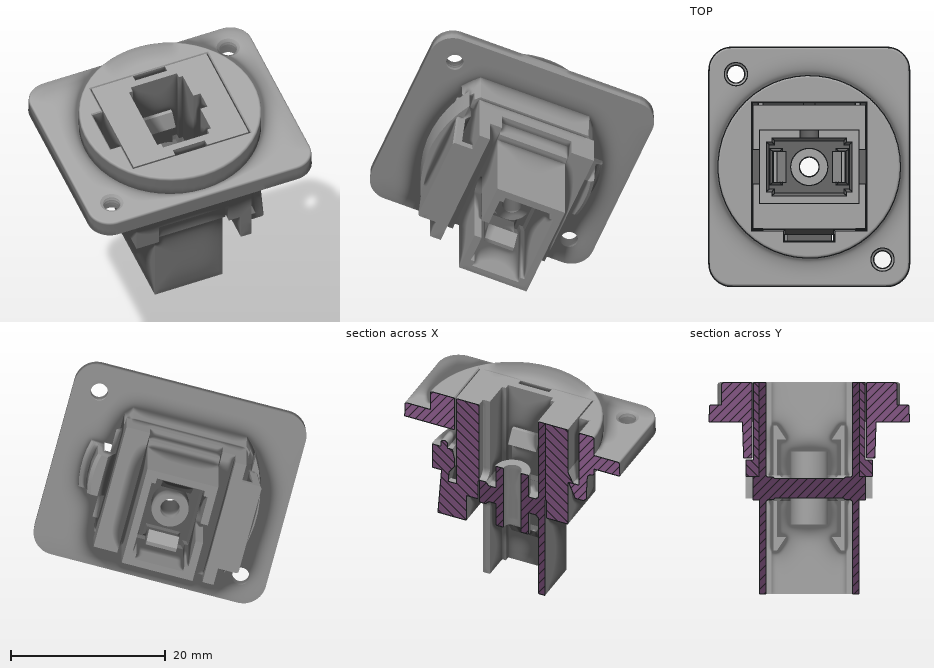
import cadquery as cq
import math


top_z = 5.1

flange_x = 26.0
flange_y = 31.0
flange_thickness = 2.23
flange_draft = 2
flange_corner_radius = 3.0
flange_edge_round = 0.28
disc_edge_round = 0.3
rim_chamfer = 0.15
disc_radius = 11.8

thread_minor_radius = 2.25 / 2
thread_major_radius = 3.0 / 2
thread_pitch = 0.5
screw_x = 9.5
screw_y = 12.0

jack_head_half_x = 7.25
jack_half_y = 8.03
jack_base_half_x = 8.25
jack_shoulder_z = -4.9
jack_base_bottom_z = -9.92
jack_leg_bottom_z = -13.85
jack_leg_thickness = 1.5
side_notch_half_y = 2.23

ledge_half_x = 6.0
ledge_top_z = -1.6
ledge_bottom_z = -3.15
ledge_depth = 0.75

latch_half_x = 5.98
latch_rib_half_x = 0.75
latch_rib_top_z = -8.4
latch_bridge_top_z = -12.83
latch_tab_top_z = -3.15
latch_tab_bottom_z = -6.95
latch_arm_inner_y = 9.05
latch_arm_outer_y = 10.2
latch_foot_inner_y = 9.52
latch_foot_outer_y = 10.73
latch_tab_back_y = 9.33
latch_tab_tip_y = 11.55
latch_tab_half_x = 8.0
latch_catch_y = 8.25
latch_catch_z = -5.77
latch_arm_chamfer = 0.22
latch_tip_radius = 0.53
latch_tip_y = 9.75
latch_tip_top_z = -2.08

coupler_half_x = 6.45
coupler_half_y = 4.75
coupler_bottom_z = -22.3
coupler_mid_z = (top_z + coupler_bottom_z) / 2
ear_half_x = 7.32
ear_height = 3.05
ear_slot_half_y = 4.87
cavity_tall_half_x = 4.85
cavity_tall_half_y = 3.75
cavity_wide_half_x = 5.55
cavity_wide_half_y = 3.22
cavity_floor_z = -7.3
cavity_floor_bevel = 0.37
keyway_radius = 1.2
keyway_bottom_z = -6.82
bore_radius = 2.5 / 2
sleeve_radius = 4.8 / 2
sleeve_top_z = -3.88
finger_half_y = 2.0
finger_back_x = 4.62
finger_face_x = 4.15
finger_hook_x = 2.98
finger_top_z = -0.5
finger_hook_z = -2.25
finger_base_half_y = 2.35
finger_base_inner_x = 3.47
finger_base_outer_x = 5.08
finger_base_height = 0.35
finger_base_bevel = 0.3

jack_gap = 0.1
latch_gap = 0.22
opening_half_x = jack_head_half_x + jack_gap
opening_front_y = -jack_half_y - jack_gap
opening_back_y = jack_half_y + latch_gap

skirt_half_x = 8.68
skirt_bottom_z = jack_shoulder_z + latch_gap
skirt_draft = 2
skirt_corner_y = -7.22
skirt_corner_slope = 0.9
pillar_inner_x = 6.57
pillar_step_y = 8.6
pillar_step_z = -3.15

clip_slot_half_x = 3.15
clip_inner_y = -9.58
clip_top_half_x = 3.13
clip_neck_half_x = 3.05
clip_foot_half_x = 2.7
clip_shoulder_z = -0.8
clip_neck_z = -1.45
clip_bottom_z = -5.5
clip_outer_radius = 10.85
clip_foot_radius = 10.73
clip_foot_y = -9.02
clip_foot_chamfer = 0.45


def block(x0, x1, y0, y1, z0, z1):
    """Axis-aligned box between two opposite corners."""
    return cq.Workplane("XY").box(x1 - x0, y1 - y0, z1 - z0, centered=False).translate((x0, y0, z0))


def centred_block(half_x, half_y, z0, z1):
    """Box centred on the Z axis."""
    return block(-half_x, half_x, -half_y, half_y, z0, z1)


def yz_prism(points, half_x):
    """Outline of (Y, Z) points extruded to both sides of the YZ plane."""
    return cq.Workplane("YZ").polyline(points).close().extrude(half_x, both=True)


def both_sides(body):
    """The body and its mirror image in the YZ plane."""
    return body.union(body.mirror("YZ"))


def make_plate():
    outline = cq.Sketch().rect(flange_x, flange_y).vertices().fillet(flange_corner_radius)
    flange = (
        cq.Workplane("XY")
        .placeSketch(outline)
        .extrude(flange_thickness, taper=flange_draft)
        .faces(">Z").edges().fillet(flange_edge_round)
    )
    disc = cq.Workplane("XY").circle(disc_radius).extrude(top_z).faces(">Z").edges().fillet(disc_edge_round)
    opening = block(-opening_half_x, opening_half_x, opening_front_y, opening_back_y, 0, top_z)
    clip_slot = block(-clip_slot_half_x, clip_slot_half_x, clip_inner_y, opening_front_y, 0, top_z)
    plate = flange.union(disc).cut(opening.union(clip_slot))
    return plate.faces(">Z").edges("|X or |Y").chamfer(rim_chamfer)


def make_skirt():
    """Drafted side walls that hold the jack, ending in pillars behind its back corners."""
    side_y = math.sqrt(disc_radius ** 2 - skirt_half_x ** 2)
    front_y = skirt_corner_y - skirt_half_x * skirt_corner_slope
    outside = (
        cq.Workplane("XY")
        .moveTo(0, front_y)
        .lineTo(skirt_half_x, skirt_corner_y)
        .lineTo(skirt_half_x, side_y)
        .threePointArc((0, disc_radius), (-skirt_half_x, side_y))
        .lineTo(-skirt_half_x, skirt_corner_y)
        .close()
        .extrude(skirt_bottom_z, taper=skirt_draft)
    )
    front = block(-skirt_half_x, skirt_half_x, front_y, opening_front_y, skirt_bottom_z, 0)
    jack_space = block(-opening_half_x, opening_half_x, opening_front_y, jack_half_y, skirt_bottom_z, 0)
    latch_space = block(-pillar_inner_x, pillar_inner_x, jack_half_y, disc_radius, skirt_bottom_z, 0)
    step = block(-skirt_half_x, skirt_half_x, pillar_step_y, disc_radius, skirt_bottom_z, pillar_step_z)
    return outside.cut(front).cut(jack_space).cut(latch_space).cut(step)


def make_clip():
    """Spring clip: a hook under the jack's ledge, rounded about the disc axis outside."""
    hook = yz_prism(
        [
            (-disc_radius, 0),
            (clip_inner_y, 0),
            (clip_inner_y, ledge_bottom_z),
            (-jack_half_y, ledge_bottom_z),
            (clip_foot_y, clip_bottom_z),
            (-disc_radius, clip_bottom_z),
        ],
        clip_top_half_x,
    )
    outside = (
        cq.Workplane("XZ")
        .moveTo(0, 0)
        .lineTo(disc_radius, 0)
        .lineTo(disc_radius, clip_shoulder_z)
        .lineTo(disc_radius - 0.28, clip_shoulder_z - 0.22)
        .lineTo(clip_outer_radius + 0.3, clip_shoulder_z - 0.28)
        .lineTo(clip_outer_radius, clip_neck_z)
        .lineTo(clip_foot_radius, clip_bottom_z + clip_foot_chamfer)
        .lineTo(clip_foot_radius - clip_foot_chamfer, clip_bottom_z)
        .lineTo(0, clip_bottom_z)
        .close()
        .revolve(360, (0, 0, 0), (0, 1, 0))
    )
    right_edge = [
        (clip_top_half_x, 0),
        (clip_top_half_x, clip_shoulder_z),
        (clip_neck_half_x, clip_neck_z),
        (clip_foot_half_x, clip_bottom_z),
    ]
    left_edge = [(-x, z) for x, z in reversed(right_edge)]
    taper = cq.Workplane("XZ").polyline(right_edge + left_edge).close().extrude(disc_radius)
    return hook.intersect(outside).intersect(taper)


def make_screw_thread():
    """Hole with ring-shaped V grooves standing in for the thread; the top groove opens the mouth."""
    half_pitch = thread_pitch / 2
    turns = math.ceil(flange_thickness / thread_pitch)
    outline = cq.Workplane("XZ").moveTo(0, flange_thickness).lineTo(thread_major_radius, flange_thickness)
    for turn in range(turns):
        crest_z = flange_thickness - turn * thread_pitch - half_pitch
        outline = outline.lineTo(thread_minor_radius, crest_z)
        outline = outline.lineTo(thread_major_radius, crest_z - half_pitch)
    thread = outline.lineTo(0, flange_thickness - turns * thread_pitch).close()
    return thread.revolve(360, (0, 0, 0), (0, 1, 0))


def make_frame():
    frame = make_plate().union(make_skirt()).union(make_clip())
    thread = make_screw_thread()
    for side in (-1, 1):
        frame = frame.cut(thread.translate((side * screw_x, -side * screw_y, 0)))
    return frame


def make_jack_body():
    head = centred_block(jack_head_half_x, jack_half_y, jack_shoulder_z, top_z)
    base = centred_block(jack_base_half_x, jack_half_y, jack_base_bottom_z, jack_shoulder_z)
    leg = block(
        -jack_base_half_x, jack_base_half_x,
        jack_half_y - jack_leg_thickness, jack_half_y,
        jack_leg_bottom_z, jack_base_bottom_z,
    )
    coupler_hole = centred_block(coupler_half_x, coupler_half_y, jack_leg_bottom_z, top_z)
    ear_slot = centred_block(
        jack_base_half_x, ear_slot_half_y, jack_base_bottom_z, coupler_mid_z + ear_height / 2
    )
    side_notches = centred_block(jack_head_half_x, side_notch_half_y, jack_shoulder_z, top_z)
    return head.union(base).union(leg).cut(coupler_hole).cut(ear_slot).cut(side_notches)


def make_ledge():
    """Fixed wedge on the front, sloping down to a flat catch."""
    front = -jack_half_y
    return yz_prism(
        [(front, ledge_top_z), (front - ledge_depth, ledge_bottom_z), (front, ledge_bottom_z)],
        ledge_half_x,
    )


def make_latch():
    """Flexible latch on the back: foot, leaning arm, finger tab and rounded tip."""
    arm = yz_prism(
        [
            (jack_half_y, jack_leg_bottom_z),
            (latch_foot_outer_y, jack_leg_bottom_z),
            (latch_arm_outer_y, latch_tab_bottom_z),
            (latch_arm_inner_y, latch_tab_bottom_z),
            (latch_foot_inner_y, latch_bridge_top_z),
            (jack_half_y, latch_bridge_top_z),
        ],
        latch_half_x,
    )
    arm_direction = cq.Vector(
        0, latch_arm_outer_y - latch_foot_outer_y, latch_tab_bottom_z - jack_leg_bottom_z
    )
    arm = arm.edges(cq.selectors.ParallelDirSelector(arm_direction)).chamfer(latch_arm_chamfer)
    rib = block(
        -latch_rib_half_x, latch_rib_half_x, jack_half_y, latch_foot_inner_y,
        latch_bridge_top_z, latch_rib_top_z,
    )
    catch = yz_prism(
        [
            (latch_tab_back_y, latch_tab_bottom_z),
            (latch_arm_inner_y, latch_tab_bottom_z),
            (latch_catch_y, latch_catch_z),
            (latch_catch_y, skirt_bottom_z),
            (pillar_step_y, latch_tab_top_z),
            (latch_tab_back_y, latch_tab_top_z),
        ],
        latch_half_x,
    )
    tip_axis_z = latch_tip_top_z - latch_tip_radius
    tip = block(
        -latch_half_x, latch_half_x, latch_tip_y - latch_tip_radius, latch_tip_y + latch_tip_radius,
        latch_tab_top_z, tip_axis_z,
    ).union(
        cq.Workplane("YZ").center(latch_tip_y, tip_axis_z).circle(latch_tip_radius)
        .extrude(latch_half_x, both=True)
    )
    tab = (
        cq.Workplane("XY", origin=(0, 0, latch_tab_bottom_z))
        .moveTo(-latch_tab_half_x, latch_tab_back_y)
        .lineTo(latch_tab_half_x, latch_tab_back_y)
        .threePointArc((0, latch_tab_tip_y), (-latch_tab_half_x, latch_tab_back_y))
        .close()
        .extrude(latch_tab_top_z - latch_tab_bottom_z)
    )
    return arm.union(rib).union(catch).union(tab).union(tip)


def make_jack():
    return make_jack_body().union(make_ledge()).union(make_latch())


def bevelled_pocket(half_x, half_y):
    """Rectangular pocket from the coupler's top to the floor, bevelled around the floor."""
    pocket = centred_block(half_x, half_y, cavity_floor_z, top_z)
    return pocket.faces("<Z").edges().chamfer(cavity_floor_bevel)


def make_coupler_half():
    """Upper half: keyed socket with a central sleeve and two hooked fingers."""
    body = centred_block(coupler_half_x, coupler_half_y, coupler_mid_z, top_z)
    ears = centred_block(ear_half_x, coupler_half_y, coupler_mid_z, coupler_mid_z + ear_height / 2)
    cavity = bevelled_pocket(cavity_tall_half_x, cavity_tall_half_y).union(
        bevelled_pocket(cavity_wide_half_x, cavity_wide_half_y)
    )
    key_axis_z = keyway_bottom_z + keyway_radius
    keyway = block(-keyway_radius, keyway_radius, 0, coupler_half_y, key_axis_z, top_z).union(
        cq.Workplane("XZ", origin=(0, 0, key_axis_z)).circle(keyway_radius).extrude(-coupler_half_y)
    )
    finger_base = block(
        finger_base_inner_x, finger_base_outer_x, -finger_base_half_y, finger_base_half_y,
        cavity_floor_z, cavity_floor_z + finger_base_height,
    ).faces(">Z").edges().chamfer(finger_base_bevel)
    sleeve = (
        cq.Workplane("XY", origin=(0, 0, cavity_floor_z))
        .circle(sleeve_radius)
        .extrude(sleeve_top_z - cavity_floor_z)
    )
    bore = cq.Workplane("XY", origin=(0, 0, coupler_mid_z)).circle(bore_radius).extrude(top_z - coupler_mid_z)
    finger = (
        cq.Workplane("XZ")
        .polyline([
            (finger_back_x, cavity_floor_z),
            (finger_back_x, finger_top_z),
            (finger_face_x, finger_top_z),
            (finger_hook_x, finger_hook_z),
            (finger_face_x, finger_hook_z),
            (finger_face_x, cavity_floor_z),
        ])
        .close()
        .extrude(finger_half_y, both=True)
    )
    return (
        body.union(ears)
        .cut(cavity)
        .cut(keyway)
        .union(sleeve)
        .union(both_sides(finger_base))
        .union(both_sides(finger))
        .cut(bore)
    )


def make_coupler():
    upper = make_coupler_half()
    lower = upper.mirror("XY", (0, 0, coupler_mid_z))
    return upper.union(lower)


frame = make_frame()
jack = make_jack()
coupler = make_coupler()

result = cq.Compound.makeCompound([frame.val(), jack.val(), coupler.val()])